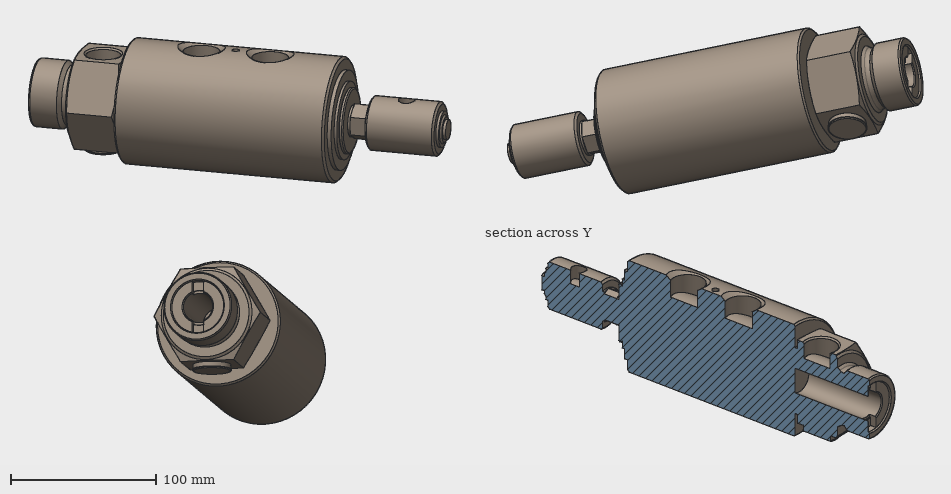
import cadquery as cq
import math

total_length = 294.3
thread_end = 20.3
hex_start = 28.6
body_start = 66.7
body_end = 217.4
first_step_end = 220.2
second_step_end = 222.1
cap_bevel_end = 222.8
cap_end = 225.3
spindle_hex_start = 227.0
spindle_hex_end = 238.0
stub_start = 239.5
stub_end = 289.0
washer_end = 290.9
retainer_end = 292.2

thread_dia = 47.8
thread_face_dia = 46.15
thread_chamfer = 1.2
relief_dia = 42.0
relief_taper_length = 2.8
relief_arc_length = 3.4
relief_slope = math.radians(35)

hex_flats = 65.0
hex_corners = hex_flats / math.cos(math.pi / 6)
hex_end = 65.1
hex_face_dia = 60.4
hex_bevel_dia = 64.0
hex_bevel_length = 1.3
hex_corner_slope = math.tan(math.radians(16))
hex_neck_dia = 52.5

body_dia = 87.63
body_front_chamfer = 1.3
body_rear_chamfer = 1.6
first_step_dia = 69.6
second_step_dia = 54.5
cap_root_dia = 43.51
cap_dia = 46.15
cap_chamfer = 0.9

spindle_neck_dia = 22.2
spindle_hex_corners = 25.4
collar_dia = 24.8
stub_dia = 38.0
stub_face_dia = 34.6
stub_chamfer = 1.5
washer_dia = 25.4
retainer_dia = 20.3
retainer_end_dia = 18.0
pin_dia = 13.99

hex_port_dia = 24.26
hex_port_rim_dia = 26.6
hex_port_mouth_depth = (hex_port_rim_dia - hex_port_dia) / 2
hex_port_x = 47.2
hex_core_dia = 41.0
body_port_x = (117.5, 166.7)
body_port_dia = 25.4
body_port_rim_dia = 33.2
body_port_mouth_depth = 3.1
body_core_dia = 56.0
stub_port_dia = 11.2
stub_port_x = 264.5
stub_core_dia = 18.0
indicator_x = 142.0
indicator_dia = 5.0
indicator_depth = 2.5

socket_dia = 36.5
socket_rim_dia = 38.0
socket_depth = 1.19
bore_dia = 20.6
bore_rim_dia = 22.2
bore_depth = body_start
slot_width = 8.1
slot_depth = 5.0
slot_step_dia = 24.26
slot_step_depth = 1.0

plug_dia = 26.2
plug_flange_dia = 27.0
plug_bottom = -36.9
plug_flange_thickness = 0.4
plug_chamfer = 0.7
plug_overlap = 1.0


def turned(points):
    """Solid of revolution about X from (x, diameter) corners."""
    outline = [(points[0][0], 0)]
    outline += [(x, dia / 2) for x, dia in points]
    outline.append((points[-1][0], 0))
    return cq.Workplane("XY").polyline(outline).close().revolve(360, (0, 0, 0), (1, 0, 0))


def rod(start, end, dia):
    return turned([(start, dia), (end, dia)])


def hex_bar(start, end, corners, turn):
    """Hexagonal bar along X; turn 0 puts corners on +Y and -Y."""
    bar = cq.Workplane("YZ").workplane(offset=start).polygon(6, corners).extrude(end - start)
    return bar.rotate((0, 0, 0), (1, 0, 0), turn)


def upright(x, z_low, z_high, dia):
    return cq.Workplane("XY", origin=(x, 0, z_low)).circle(dia / 2).extrude(z_high - z_low)


def nipple():
    """Threaded end whose relief groove curves up into a cone under the hexagon."""
    arc_start = thread_end + relief_taper_length
    arc_end = arc_start + relief_arc_length
    arc_radius = relief_arc_length / math.sin(relief_slope)
    floor_radius = relief_dia / 2
    mid_x = arc_start + arc_radius * math.sin(relief_slope / 2)
    mid_radius = floor_radius + arc_radius * (1 - math.cos(relief_slope / 2))
    end_radius = floor_radius + arc_radius * (1 - math.cos(relief_slope))
    root_radius = end_radius + (hex_start - arc_end) * math.tan(relief_slope)
    outline = (
        cq.Workplane("XY")
        .moveTo(0, 0)
        .lineTo(0, thread_face_dia / 2)
        .lineTo(thread_chamfer, thread_dia / 2)
        .lineTo(thread_end, thread_dia / 2)
        .lineTo(arc_start, floor_radius)
        .threePointArc((mid_x, mid_radius), (arc_end, end_radius))
        .lineTo(hex_start, root_radius)
        .lineTo(hex_start, 0)
        .close()
    )
    return outline.revolve(360, (0, 0, 0), (1, 0, 0))


def large_hexagon():
    bevel_end = hex_start + hex_bevel_length
    corner_run = (hex_corners - hex_bevel_dia) / 2 * hex_corner_slope
    envelope = turned([
        (hex_start, hex_face_dia),
        (bevel_end, hex_bevel_dia),
        (bevel_end + corner_run, hex_corners),
        (hex_end - corner_run, hex_corners),
        (hex_end, hex_bevel_dia),
    ])
    nut = hex_bar(hex_start, hex_end, hex_corners, 0).intersect(envelope)
    return nut.union(rod(hex_end, body_start, hex_neck_dia))


def body():
    return turned([
        (body_start, body_dia - 2 * body_front_chamfer),
        (body_start + body_front_chamfer, body_dia),
        (body_end - body_rear_chamfer, body_dia),
        (body_end, body_dia - 2 * body_rear_chamfer),
        (body_end, first_step_dia),
        (first_step_end, first_step_dia),
        (first_step_end, second_step_dia),
        (second_step_end, second_step_dia),
        (second_step_end, cap_root_dia),
        (cap_bevel_end, cap_dia),
        (cap_end - cap_chamfer, cap_dia),
        (cap_end, cap_dia - 2 * cap_chamfer),
    ])


def spindle():
    neck = rod(cap_end, spindle_hex_start, spindle_neck_dia)
    hexagon = hex_bar(spindle_hex_start, spindle_hex_end, spindle_hex_corners, 30)
    collar = rod(spindle_hex_end, stub_start, collar_dia)
    return neck.union(hexagon).union(collar)


def stub():
    return turned([
        (stub_start, stub_face_dia),
        (stub_start + stub_chamfer, stub_dia),
        (stub_end - stub_chamfer, stub_dia),
        (stub_end, stub_face_dia),
        (stub_end, washer_dia),
        (washer_end, washer_dia),
        (washer_end, retainer_dia),
        (retainer_end, retainer_end_dia),
        (retainer_end, pin_dia),
        (total_length, pin_dia),
    ])


def plug():
    flange_top = plug_bottom + plug_flange_thickness + plug_chamfer
    shank = upright(hex_port_x, flange_top, -hex_flats / 2 + plug_overlap, plug_dia)
    flange = upright(hex_port_x, plug_bottom, flange_top, plug_flange_dia)
    return shank.union(flange.faces("<Z").chamfer(plug_chamfer))


def port(x, top, dia, core_dia):
    """Vertical port that ends on an inner cylinder about X."""
    core = rod(x - dia, x + dia, core_dia)
    return upright(x, 0, top, dia).cut(core)


def port_mouth(x, top, dia, rim_dia, depth):
    """Conical countersink at the top of a port."""
    profile = cq.Workplane("XZ").polyline([
        (0, top - depth),
        (dia / 2, top - depth),
        (rim_dia / 2, top),
        (0, top),
    ])
    return profile.close().revolve(360, (0, 0, 0), (0, 1, 0)).translate((x, 0, 0))


def end_socket():
    """Socket, central bore and two driving slots in the threaded end."""
    slot_floor = socket_depth + slot_depth
    bore_bevel = (bore_rim_dia - bore_dia) / 2
    socket = turned([(0, socket_rim_dia), (socket_depth, socket_dia)])
    bore = turned([
        (socket_depth, bore_rim_dia),
        (socket_depth + bore_bevel, bore_dia),
        (bore_depth, bore_dia),
    ])
    slot_round = turned([
        (0, socket_dia),
        (slot_floor, socket_dia),
        (slot_floor, slot_step_dia),
        (slot_floor + slot_step_depth, slot_step_dia),
    ])
    slot_bar = cq.Workplane("XY").box(bore_depth, slot_width, socket_dia, centered=(False, True, True))
    return socket.union(bore).union(slot_bar.intersect(slot_round))


body_top = body_dia / 2
hex_top = hex_flats / 2
stub_top = stub_dia / 2

result = nipple().union(large_hexagon()).union(body()).union(spindle()).union(stub()).union(plug())
result = result.cut(end_socket())

result = result.cut(port(hex_port_x, hex_top, hex_port_dia, hex_core_dia))
result = result.cut(port_mouth(hex_port_x, hex_top, hex_port_dia, hex_port_rim_dia, hex_port_mouth_depth))

for port_x in body_port_x:
    result = result.cut(port(port_x, body_top, body_port_dia, body_core_dia))
    result = result.cut(port_mouth(port_x, body_top, body_port_dia, body_port_rim_dia, body_port_mouth_depth))

result = result.cut(port(stub_port_x, stub_top, stub_port_dia, stub_core_dia))
result = result.cut(upright(indicator_x, body_top - indicator_depth, body_top, indicator_dia))